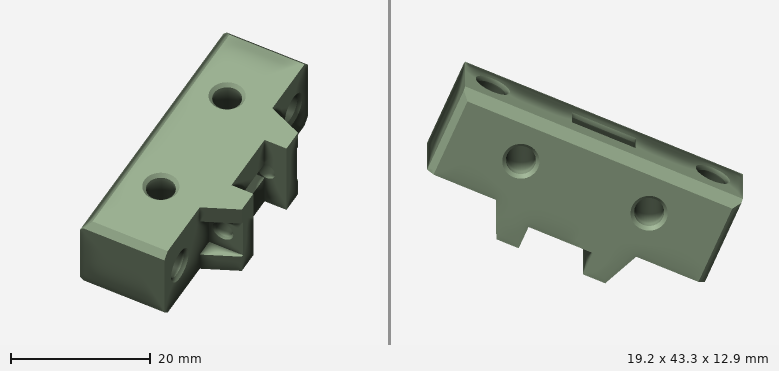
import cadquery as cq

length = 43.3
height = 12.95
body_depth = 13.7
overall_depth = 19.2
front_chamfer = 1.47
end_chamfer = 1.0

lug_root_y = 10.95
lug_tip_y = 8.5
notch_floor_x = 15.65
notch_width = 10.0
flat_y = 8.15
flat_height = 6.95

mount_diameter = 4.3
mount_countersink = 0.5
side_hole_y = 17.15
side_hole_offset = 0.17
vertical_hole_y = 10.0
cross_diameter = 2.75
cross_countersink = 0.3
cross_hole_x = 15.95

window_height = 3.0
window_chamfer = 0.5

mid_z = height / 2


def make_body():
    """Block with its long front edges and its short end edges bevelled."""
    block = cq.Workplane("XY").box(body_depth, length, height, centered=(False, True, False))
    long_bevels = block.edges("<X and |Y").chamfer(front_chamfer)
    end_profile = (
        cq.Workplane("YZ")
        .rect(length, height)
        .extrude(body_depth)
        .edges("|X")
        .chamfer(end_chamfer)
        .translate((0, 0, mid_z))
    )
    return long_bevels.intersect(end_profile)


def make_lugs():
    """Pair of tapered lugs with a notch between them and flats for the cross hole."""
    half_notch = notch_width / 2
    lugs = (
        cq.Workplane("XY")
        .polyline([
            (body_depth, -lug_root_y),
            (overall_depth, -lug_tip_y),
            (overall_depth, -half_notch),
            (notch_floor_x, -half_notch),
            (notch_floor_x, half_notch),
            (overall_depth, half_notch),
            (overall_depth, lug_tip_y),
            (body_depth, lug_root_y),
        ])
        .close()
        .extrude(height)
    )
    lug_depth = overall_depth - body_depth
    for side in (-1, 1):
        flat = cq.Workplane("XY").box(
            lug_depth, lug_root_y - flat_y, flat_height, centered=(False, True, True)
        )
        flat_middle_y = side * (lug_root_y + flat_y) / 2
        lugs = lugs.cut(flat.translate((body_depth, flat_middle_y, mid_z)))
    return lugs


def countersunk_hole(start, direction, depth, diameter, countersink):
    """Cutter for a through hole with a 45 degree countersink at both ends."""
    radius = diameter / 2
    axis = cq.Vector(*direction)
    near = cq.Vector(*start)
    far = near + axis * depth
    hole = cq.Solid.makeCylinder(radius, depth, near, axis)
    for mouth, inward in ((near, axis), (far, axis * -1)):
        cone = cq.Solid.makeCone(radius + countersink, radius, countersink, mouth, inward)
        hole = hole.fuse(cone)
    return cq.Workplane(obj=hole)


def make_window():
    """Cutter for the window, bevelled above and below at its front mouth."""
    half_height = window_height / 2
    half_mouth = half_height + window_chamfer
    return (
        cq.Workplane("XZ")
        .polyline([
            (0, -half_mouth),
            (window_chamfer, -half_height),
            (notch_floor_x, -half_height),
            (notch_floor_x, half_height),
            (window_chamfer, half_height),
            (0, half_mouth),
        ])
        .close()
        .extrude(notch_width / 2, both=True)
        .translate((0, 0, mid_z))
    )


result = make_body().union(make_lugs()).cut(make_window())

for side in (-1, 1):
    side_start = (0, side * side_hole_y + side_hole_offset, mid_z)
    vertical_start = (body_depth / 2, side * vertical_hole_y, 0)
    result = result.cut(
        countersunk_hole(side_start, (1, 0, 0), body_depth, mount_diameter, mount_countersink)
    )
    result = result.cut(
        countersunk_hole(vertical_start, (0, 0, 1), height, mount_diameter, mount_countersink)
    )

cross_start = (cross_hole_x, -flat_y, mid_z)
result = result.cut(
    countersunk_hole(cross_start, (0, 1, 0), 2 * flat_y, cross_diameter, cross_countersink)
)